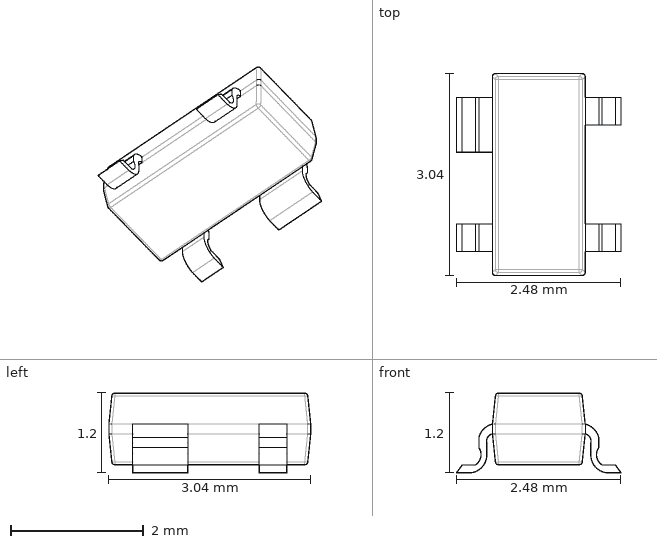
import cadquery as cq
import math

HOUSING_LENGTH = 3.04
HOUSING_WIDTH = 1.398
HOUSING_BOTTOM = 0.122
HOUSING_TOP = 1.2
BAND_BOTTOM = 0.587
BAND_TOP = 0.735
TAPER_ANGLE = 6.0
EDGE_RADIUS = 0.05

OVERALL_WIDTH = 2.48
LEAD_THICKNESS = 0.122
FOOT_TIP_SETBACK = 0.088
SHANK_OUTER_X = 0.903
SHANK_INNER_X = SHANK_OUTER_X - LEAD_THICKNESS
LEAD_OUTER_Y = 1.16
NARROW_LEAD = 0.42
WIDE_LEAD = 0.83

FOOT_TIP = (OVERALL_WIDTH / 2, 0)
FOOT_TIP_TOP = (FOOT_TIP[0] - FOOT_TIP_SETBACK, LEAD_THICKNESS)
FOOT_HEEL_TOP = (0.95, LEAD_THICKNESS)
FOOT_HEEL = (1.02, 0)
SHANK_OUTER_LOW = (SHANK_OUTER_X, 0.38)
SHANK_OUTER_HIGH = (SHANK_OUTER_X, 0.535)
SHANK_INNER_LOW = (SHANK_INNER_X, 0.292)
SHANK_INNER_HIGH = (SHANK_INNER_X, 0.453)
ROOT_TOP = (HOUSING_WIDTH / 2, BAND_TOP)
ROOT_BOTTOM = (HOUSING_WIDTH / 2, BAND_BOTTOM)

LOWER_BEND_OUTWARD = 0.185
LOWER_BEND_INWARD = 0.275
UPPER_BEND_OUTWARD = 0.28
UPPER_BEND_INWARD = 0.112


def tapered_half(face_z, height):
    """Half of the housing, narrowing from the band face at face_z; a negative height goes down."""
    inset = 2 * abs(height) * math.tan(math.radians(TAPER_ANGLE))
    return (
        cq.Workplane("XY", origin=(0, 0, face_z))
        .rect(HOUSING_WIDTH, HOUSING_LENGTH)
        .workplane(offset=height)
        .rect(HOUSING_WIDTH - inset, HOUSING_LENGTH - inset)
        .loft(ruled=True)
    )


def make_housing():
    band = (
        cq.Workplane("XY", origin=(0, 0, BAND_BOTTOM))
        .rect(HOUSING_WIDTH, HOUSING_LENGTH)
        .extrude(BAND_TOP - BAND_BOTTOM)
    )
    upper = tapered_half(BAND_TOP, HOUSING_TOP - BAND_TOP)
    lower = tapered_half(BAND_BOTTOM, HOUSING_BOTTOM - BAND_BOTTOM)
    blank = band.union(upper).union(lower)
    corner_edges = blank.edges("not #Z")
    rim_edges = blank.faces("<Z or >Z").edges()
    return corner_edges.add(rim_edges).fillet(EDGE_RADIUS)


def bend_middle(start, end, radius):
    """Middle point of the arc of given radius from start to end, bulging to the left of travel."""
    run = end[0] - start[0]
    rise = end[1] - start[1]
    chord = math.hypot(run, rise)
    bulge = radius - math.sqrt(radius**2 - (chord / 2) ** 2)
    middle_x = (start[0] + end[0]) / 2 - rise / chord * bulge
    middle_z = (start[1] + end[1]) / 2 + run / chord * bulge
    return (middle_x, middle_z)


def make_lead(side, low_y, width):
    """Lead on the +X side (side = 1) or the -X side (side = -1), from low_y to low_y + width."""
    lead = (
        cq.Workplane("XZ", origin=(0, low_y + width, 0))
        .moveTo(*FOOT_TIP)
        .lineTo(*FOOT_TIP_TOP)
        .lineTo(*FOOT_HEEL_TOP)
        .threePointArc(bend_middle(FOOT_HEEL_TOP, SHANK_OUTER_LOW, LOWER_BEND_OUTWARD), SHANK_OUTER_LOW)
        .lineTo(*SHANK_OUTER_HIGH)
        .threePointArc(bend_middle(ROOT_TOP, SHANK_OUTER_HIGH, UPPER_BEND_OUTWARD), ROOT_TOP)
        .lineTo(*ROOT_BOTTOM)
        .threePointArc(bend_middle(ROOT_BOTTOM, SHANK_INNER_HIGH, UPPER_BEND_INWARD), SHANK_INNER_HIGH)
        .lineTo(*SHANK_INNER_LOW)
        .threePointArc(bend_middle(FOOT_HEEL, SHANK_INNER_LOW, LOWER_BEND_INWARD), FOOT_HEEL)
        .close()
        .extrude(width)
    )
    if side < 0:
        lead = lead.mirror("YZ")
    return lead


housing = make_housing()

LEAD_LAYOUT = [
    (-1, 1, WIDE_LEAD),
    (-1, -1, NARROW_LEAD),
    (1, 1, NARROW_LEAD),
    (1, -1, NARROW_LEAD),
]
leads = []
for x_side, y_side, lead_width in LEAD_LAYOUT:
    lead_low_y = LEAD_OUTER_Y - lead_width if y_side > 0 else -LEAD_OUTER_Y
    leads.append(make_lead(x_side, lead_low_y, lead_width).val())

result = cq.Compound.makeCompound([housing.val(), *leads])